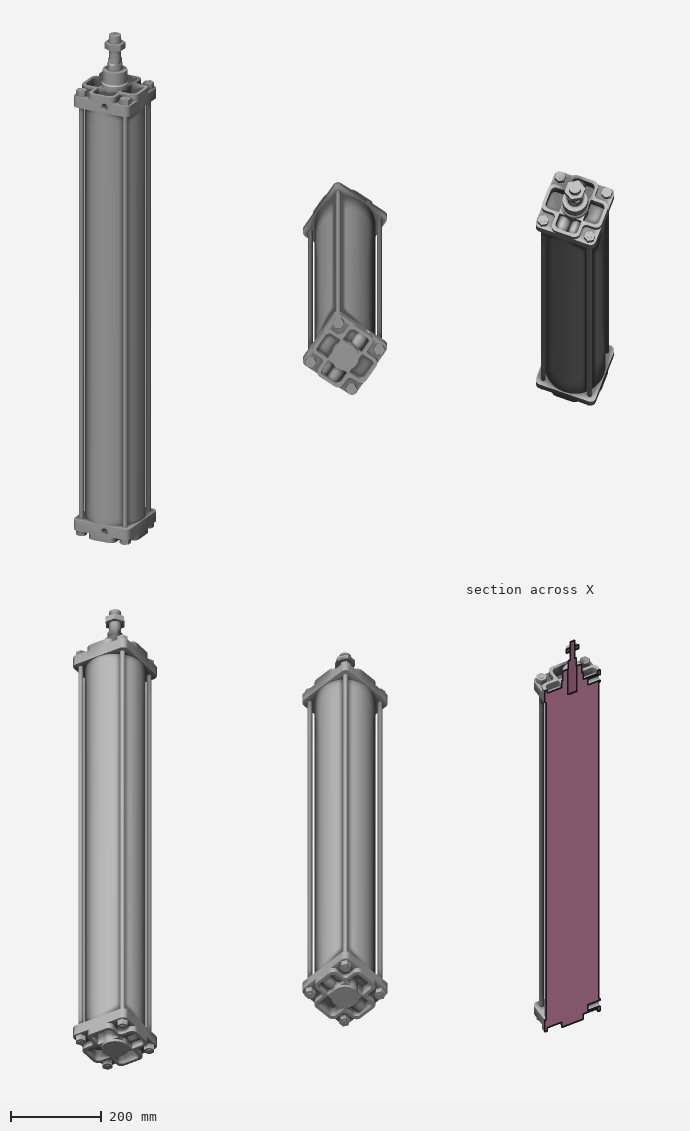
import cadquery as cq
import math

TOTAL_LENGTH = 1185.0
ROD_REACH = 121.0
FRONT_BOSS_HEIGHT = 11.0
FRONT_BOSS_CHAMFER = 2.0
REAR_BOSS_HEIGHT = 6.0
FRONT_FACE_Z = TOTAL_LENGTH - ROD_REACH
REAR_FACE_Z = REAR_BOSS_HEIGHT

CAP_WIDTH = 140.0
CAP_HEIGHT = 39.0
CAP_CORNER_RADIUS = 12.0
LEDGE_DEPTH = 14.0
ARM_WIDTH = 65.0
ARM_CORNER_RADIUS = 13.0
ARM_INNER_RADIUS = 10.0
RIM_WALL = 7.0
CORE_WIDTH = 56.0
POCKET_WIDTH = 52.0
POCKET_CORNER_RADIUS = 11.0
POCKET_DEPTH = 28.0
BOSS_DIAMETER = 60.0

PORT_DIAMETER = 17.0
PORT_BOSS_DIAMETER = 30.0
PORT_X = 11.3
PORT_DROP = 25.0
PORT_DEPTH = 31.0
VALVE_BOSS_DIAMETER = 25.0
VALVE_BOSS_X = -16.0

BARREL_DIAMETER = 135.0
TIE_ROD_DIAMETER = 10.9
TIE_ROD_OFFSET = 55.0
TIE_NUT_FLATS = 21.0
TIE_NUT_HEIGHT = 13.0

GLAND_DIAMETER = 55.0
GLAND_HEIGHT = 39.0
ROD_DIAMETER = 32.0
THREAD_DIAMETER = 27.0
THREAD_LENGTH = 56.0
WRENCH_FLATS = 27.0
WRENCH_FLAT_LENGTH = 10.0
WRENCH_RUNOUT = 5.0
ROD_NUT_FLATS = 40.0
ROD_NUT_HEIGHT = 14.0
ROD_NUT_DROP = 18.0


def disc(diameter, z_bottom, height):
    return cq.Workplane("XY").workplane(offset=z_bottom).circle(diameter / 2).extrude(height)


def hexagon(flats, z_bottom, height):
    """Hexagonal prism with two corners on the Y direction."""
    across_corners = flats / math.cos(math.pi / 6)
    prism = cq.Workplane("XY").polygon(6, across_corners).extrude(height)
    return prism.rotate((0, 0, 0), (0, 0, 1), 90).translate((0, 0, z_bottom))


def make_arms():
    """Plus-shaped raised part of the cap, flush with the cap sides."""
    bar = cq.Workplane("XY").box(CAP_WIDTH, ARM_WIDTH, LEDGE_DEPTH).edges("|Z").fillet(ARM_CORNER_RADIUS)
    plus = bar.union(bar.rotate((0, 0, 0), (0, 0, 1), 90))
    reach = ARM_WIDTH / 2 + ARM_INNER_RADIUS
    inner_corners = cq.selectors.BoxSelector((-reach, -reach, -LEDGE_DEPTH), (reach, reach, LEDGE_DEPTH))
    return plus.edges("|Z").edges(inner_corners).fillet(ARM_INNER_RADIUS).translate((0, 0, -LEDGE_DEPTH / 2))


def make_pockets():
    """Four pockets, one in each arm, around the square core of the cap."""
    core_half = CORE_WIDTH / 2
    pocket_length = CAP_WIDTH / 2 - RIM_WALL - core_half
    pocket = (
        cq.Workplane("XY").box(pocket_length, POCKET_WIDTH, POCKET_DEPTH)
        .edges("|Z and >X").fillet(POCKET_CORNER_RADIUS)
        .translate((core_half + pocket_length / 2, 0, -POCKET_DEPTH / 2))
    )
    pockets = cq.Workplane("XY")
    for side in range(4):
        pockets = pockets.add(pocket.rotate((0, 0, 0), (0, 0, 1), 90 * side))
    return cq.Workplane(cq.Compound.makeCompound(pockets.vals()))


def make_tie_rod_end():
    """Nut standing on Z = 0 with the end of the tie rod passing through it."""
    nut = hexagon(TIE_NUT_FLATS, 0, TIE_NUT_HEIGHT)
    return nut.union(disc(TIE_ROD_DIAMETER, 0, LEDGE_DEPTH))


def tie_positions():
    return [(x, y) for x in (-TIE_ROD_OFFSET, TIE_ROD_OFFSET) for y in (-TIE_ROD_OFFSET, TIE_ROD_OFFSET)]


def pocket_ridges(pockets):
    """Port tunnel and valve boss that cross the pockets, trimmed to them."""
    port_boss = (
        cq.Workplane("XZ").center(PORT_X, -PORT_DROP).circle(PORT_BOSS_DIAMETER / 2)
        .extrude(CAP_WIDTH / 2, both=True)
    )
    valve_boss = (
        cq.Workplane("XZ").center(VALVE_BOSS_X, -PORT_DROP).circle(VALVE_BOSS_DIAMETER / 2)
        .extrude(-CAP_WIDTH / 2)
    )
    return port_boss.union(valve_boss).intersect(pockets)


def make_cap():
    """Cap with its outer face at Z = 0, extending down to the barrel."""
    plate_height = CAP_HEIGHT - LEDGE_DEPTH
    plate = (
        cq.Workplane("XY").workplane(offset=-CAP_HEIGHT).rect(CAP_WIDTH, CAP_WIDTH).extrude(plate_height)
        .edges("|Z").fillet(CAP_CORNER_RADIUS)
    )
    pockets = make_pockets()
    column = disc(BOSS_DIAMETER, -CAP_HEIGHT, CAP_HEIGHT)
    cap = plate.union(make_arms()).cut(pockets).union(pocket_ridges(pockets)).union(column)
    port = (
        cq.Workplane("XZ", origin=(0, -CAP_WIDTH / 2, 0)).center(PORT_X, -PORT_DROP)
        .circle(PORT_DIAMETER / 2).extrude(-PORT_DEPTH)
    )
    return cap.cut(port)


def make_housing():
    """Barrel, both caps, tie rods and gland as one solid, bored in front for the rod."""
    cap = make_cap()
    front_cap = cap.translate((0, 0, FRONT_FACE_Z))
    rear_cap = cap.mirror("XY").translate((0, 0, REAR_FACE_Z))
    barrel_bottom = REAR_FACE_Z + CAP_HEIGHT
    barrel_length = FRONT_FACE_Z - CAP_HEIGHT - barrel_bottom
    housing = disc(BARREL_DIAMETER, barrel_bottom, barrel_length).union(front_cap).union(rear_cap)
    front_end = make_tie_rod_end().translate((0, 0, FRONT_FACE_Z - LEDGE_DEPTH))
    rear_end = make_tie_rod_end().mirror("XY").translate((0, 0, REAR_FACE_Z + LEDGE_DEPTH))
    tie_rod = disc(TIE_ROD_DIAMETER, barrel_bottom, barrel_length)
    for x, y in tie_positions():
        for part in (front_end, rear_end, tie_rod):
            housing = housing.union(part.translate((x, y, 0)))
    front_boss = disc(BOSS_DIAMETER, FRONT_FACE_Z, FRONT_BOSS_HEIGHT).faces(">Z").chamfer(FRONT_BOSS_CHAMFER)
    rear_boss = disc(BOSS_DIAMETER, 0, REAR_BOSS_HEIGHT)
    housing = housing.union(front_boss).union(rear_boss)
    housing = housing.union(disc(GLAND_DIAMETER, FRONT_FACE_Z, GLAND_HEIGHT))
    return housing.cut(disc(ROD_DIAMETER, FRONT_FACE_Z - CAP_HEIGHT, CAP_HEIGHT + GLAND_HEIGHT))


def make_rod():
    """Piston rod with four wrench flats below its threaded end."""
    rod_bottom = FRONT_FACE_Z - CAP_HEIGHT
    shoulder_z = TOTAL_LENGTH - THREAD_LENGTH
    rod = disc(ROD_DIAMETER, rod_bottom, shoulder_z - rod_bottom)
    flat_x = WRENCH_FLATS / 2
    surface_x = ROD_DIAMETER / 2
    flat_end_z = shoulder_z - WRENCH_FLAT_LENGTH
    wrench_cut = (
        cq.Workplane("XZ")
        .polyline([
            (flat_x, shoulder_z), (flat_x, flat_end_z),
            (surface_x, flat_end_z - WRENCH_RUNOUT), (surface_x, shoulder_z),
        ])
        .close().extrude(ROD_DIAMETER / 2, both=True)
    )
    for side in range(4):
        rod = rod.cut(wrench_cut.rotate((0, 0, 0), (0, 0, 1), 90 * side))
    return rod.union(disc(THREAD_DIAMETER, shoulder_z, THREAD_LENGTH))


def make_rod_nut():
    nut_bottom = TOTAL_LENGTH - ROD_NUT_DROP - ROD_NUT_HEIGHT
    nut = hexagon(ROD_NUT_FLATS, nut_bottom, ROD_NUT_HEIGHT)
    return nut.cut(disc(THREAD_DIAMETER, nut_bottom, ROD_NUT_HEIGHT))


housing = make_housing()
piston_rod = make_rod()
rod_nut = make_rod_nut()

bodies = [body.solids().val() for body in (housing, piston_rod, rod_nut)]
result = cq.Compound.makeCompound(bodies)